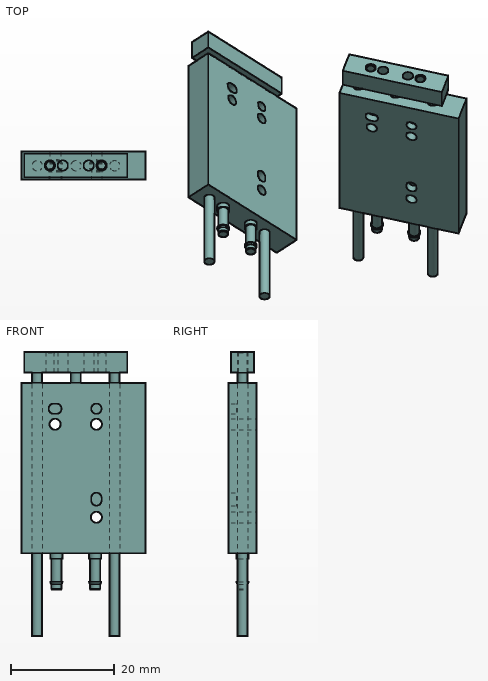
import cadquery as cq

housing_width = 24.0
housing_thickness = 5.5
housing_height = 33.0

plate_width = 20.0
plate_thickness = 4.5
plate_height = 4.0
plate_gap = 2.0
plate_left = 0.5
axis_x = plate_left + plate_width / 2
plate_bottom = housing_height + plate_gap
plate_top = plate_bottom + plate_height

rod_diameter = 2.0
guide_rod_spacing = 15.0
guide_rod_extension = 16.0
guide_rod_xs = [axis_x - guide_rod_spacing / 2, axis_x + guide_rod_spacing / 2]

dowel_diameter = 2.0
dowel_spacing = 5.0
tapped_mouth_diameter = 2.0
tapped_core_diameter = 1.57
tapped_spacing = 10.0
mouth_chamfer = (tapped_mouth_diameter - tapped_core_diameter) / 2

left_hole_x = 6.5
right_hole_x = 14.5
upper_locator_z = housing_height - 5.0
upper_screw_z = housing_height - 8.0
lower_locator_z = housing_height - 22.5
lower_screw_z = housing_height - 26.0
screw_diameter = 2.1
locator_diameter = 2.0
locator_slot_length = 2.5
locator_depth = 1.5
screw_places = [
    (left_hole_x, upper_screw_z),
    (right_hole_x, upper_screw_z),
    (right_hole_x, lower_screw_z),
]

port_spacing = 7.5
port_xs = [axis_x - port_spacing / 2, axis_x + port_spacing / 2]
port_length = 7.0
collar_diameter = 2.4
collar_length = 1.0
stem_diameter = 2.0
barb_diameter = 2.4
barb_start = 5.5
barb_length = 0.5
tip_inset = 0.1
tip_height = 0.2


def cylinder_up(x, diameter, bottom, top):
    """Vertical cylinder on the mid-plane of the part."""
    base = cq.Workplane("XY", origin=(x, 0, bottom))
    return base.circle(diameter / 2).extrude(top - bottom)


def revolve_profile(x, points):
    """Turn (radius, height) points about the vertical line through X = x on the mid-plane."""
    profile = cq.Workplane("XZ", origin=(x, 0, 0)).polyline(points).close()
    return profile.revolve(360, (0, 0), (0, 1))


def air_port(x):
    """Hose fitting hanging from the bottom face of the housing."""
    collar_radius = collar_diameter / 2
    stem_radius = stem_diameter / 2
    return revolve_profile(x, [
        (0, 0),
        (collar_radius, 0),
        (collar_radius, -collar_length),
        (stem_radius, -collar_length),
        (stem_radius, -barb_start),
        (barb_diameter / 2, -barb_start),
        (stem_radius, -barb_start - barb_length),
        (stem_radius, -port_length + tip_height),
        (stem_radius - tip_inset, -port_length),
        (0, -port_length),
    ])


def front_face(x, z):
    """Workplane on the front face of the housing, drawing into it along +Y."""
    origin = (x, -housing_thickness / 2, z)
    return cq.Workplane(cq.Plane(origin=origin, xDir=(1, 0, 0), normal=(0, -1, 0)))


def locator_slot(x, z, angle):
    return front_face(x, z).slot2D(locator_slot_length, locator_diameter, angle).extrude(-locator_depth)


def make_housing():
    body = cq.Workplane("XY").box(
        housing_width, housing_thickness, housing_height, centered=(False, True, False)
    )
    for x in port_xs:
        body = body.union(air_port(x))
    for x in guide_rod_xs:
        body = body.cut(cylinder_up(x, rod_diameter, 0, housing_height))
    for x, z in screw_places:
        body = body.cut(front_face(x, z).circle(screw_diameter / 2).extrude(-housing_thickness))
    locator_hole = front_face(right_hole_x, upper_locator_z).circle(locator_diameter / 2)
    body = body.cut(locator_hole.extrude(-locator_depth))
    body = body.cut(locator_slot(left_hole_x, upper_locator_z, 0))
    return body.cut(locator_slot(right_hole_x, lower_locator_z, 90))


def tapped_hole(x):
    """Core bore of a tapped hole with a countersunk mouth at the top of the plate."""
    core_radius = tapped_core_diameter / 2
    return revolve_profile(x, [
        (0, plate_bottom),
        (core_radius, plate_bottom),
        (core_radius, plate_top - mouth_chamfer),
        (tapped_mouth_diameter / 2, plate_top),
        (0, plate_top),
    ])


def make_slide():
    plate_base = cq.Workplane("XY", origin=(plate_left, 0, plate_bottom))
    slide = plate_base.box(plate_width, plate_thickness, plate_height, centered=(False, True, False))
    for side in (-1, 1):
        dowel_x = axis_x + side * dowel_spacing / 2
        tapped_x = axis_x + side * tapped_spacing / 2
        slide = slide.cut(cylinder_up(dowel_x, dowel_diameter, plate_bottom, plate_top))
        slide = slide.cut(tapped_hole(tapped_x))
    for x in guide_rod_xs:
        slide = slide.union(cylinder_up(x, rod_diameter, -guide_rod_extension, plate_bottom))
    return slide.union(cylinder_up(axis_x, rod_diameter, housing_height, plate_bottom))


housing = make_housing()
slide = make_slide()
result = cq.Compound.makeCompound([housing.val(), slide.val()])